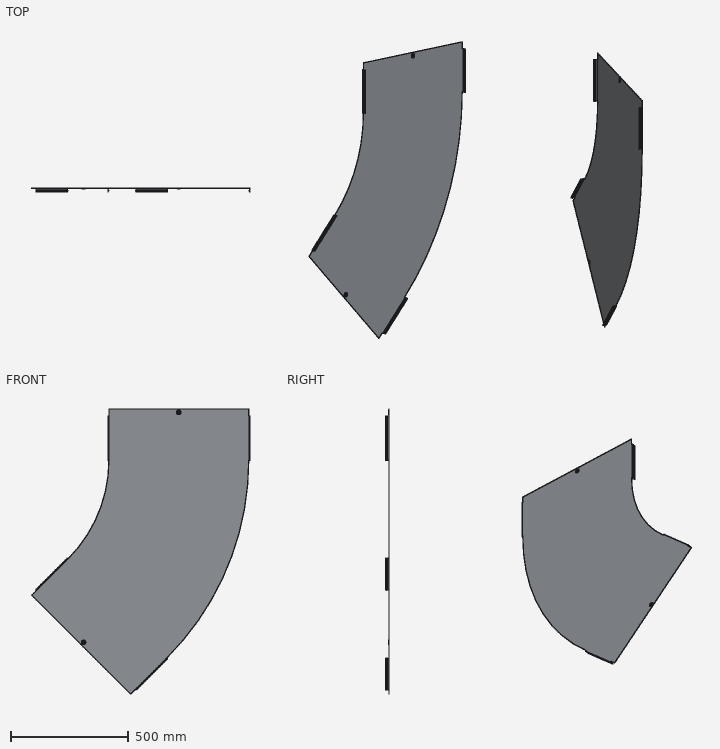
import cadquery as cq
import math


overall_length = 1216.0
bend_angle = 45.0
plate_width = 597.0
straight_length = 219.0
sheet = 1.5

flange_height = 17.0
flange_offset = 4.3
flange_length = 190.0
flange_end_gap = 29.0
bead_start = 7.0
bead_end = 15.0
bead_inset = 3.0

fastener_end_gap = 15.0
fastener_diameters = (20.0, 12.0)
fastener_step = 1.0
socket_diameter = 6.0

bend_sin = math.sin(math.radians(bend_angle))
bend_cos = math.cos(math.radians(bend_angle))
half_bend = math.radians(bend_angle / 2)
outer_radius = (overall_length - straight_length * (1 + bend_cos)) / bend_sin
inner_radius = outer_radius - plate_width
mid_radius = (outer_radius + inner_radius) / 2


def arc_mid(radius):
    """Point halfway along a bend edge, as (X, Z)."""
    return (radius * math.cos(half_bend), -radius * math.sin(half_bend))


def arc_end(radius):
    """Point where a bend edge meets the angled straight end."""
    return (radius * bend_cos, -radius * bend_sin)


def angled_tip(radius):
    """Corner at the far end of the angled straight end."""
    x, z = arc_end(radius)
    return (x - straight_length * bend_sin, z - straight_length * bend_cos)


def make_plate():
    return (
        cq.Workplane("XZ")
        .moveTo(inner_radius, straight_length)
        .lineTo(outer_radius, straight_length)
        .lineTo(outer_radius, 0)
        .threePointArc(arc_mid(outer_radius), arc_end(outer_radius))
        .lineTo(*angled_tip(outer_radius))
        .lineTo(*angled_tip(inner_radius))
        .lineTo(*arc_end(inner_radius))
        .threePointArc(arc_mid(inner_radius), (inner_radius, 0))
        .close()
        .extrude(sheet)
    )


def make_flange(edge_x, outward):
    """Clip flange on a vertical plate edge; outward is +1 or -1 along X."""
    outer_face = flange_offset
    inner_face = flange_offset - sheet
    bead_tip = (bead_start + bead_end) / 2
    section = [
        (0, 0),
        (outer_face, 0),
        (outer_face, -bead_start),
        (outer_face - bead_inset, -bead_tip),
        (outer_face, -bead_end),
        (outer_face, -flange_height),
        (inner_face, -flange_height),
        (inner_face, -bead_end),
        (inner_face - bead_inset, -bead_tip),
        (inner_face, -bead_start),
        (inner_face, -sheet),
        (0, -sheet),
    ]
    flange_top = straight_length - flange_end_gap
    return (
        cq.Workplane("XY", origin=(0, 0, flange_top - flange_length))
        .polyline([(edge_x + outward * across, y) for across, y in section])
        .close()
        .extrude(flange_length)
    )


def make_fastener():
    """Washer and screw head with a round drive socket, at the middle of the plate end."""
    axis_z = straight_length - fastener_end_gap
    face = cq.Workplane("XZ", origin=(mid_radius, -sheet, axis_z))
    washer_diameter, head_diameter = fastener_diameters
    washer = face.circle(washer_diameter / 2).extrude(fastener_step)
    head = (
        face.workplane(offset=fastener_step)
        .circle(head_diameter / 2)
        .circle(socket_diameter / 2)
        .extrude(fastener_step)
    )
    return washer.union(head)


end_hardware = [
    make_flange(inner_radius, -1),
    make_flange(outer_radius, 1),
    make_fastener(),
]

bisector_normal = cq.Vector(math.sin(half_bend), 0, math.cos(half_bend))
result = make_plate()
for item in end_hardware:
    result = result.union(item).union(item.mirror(bisector_normal))